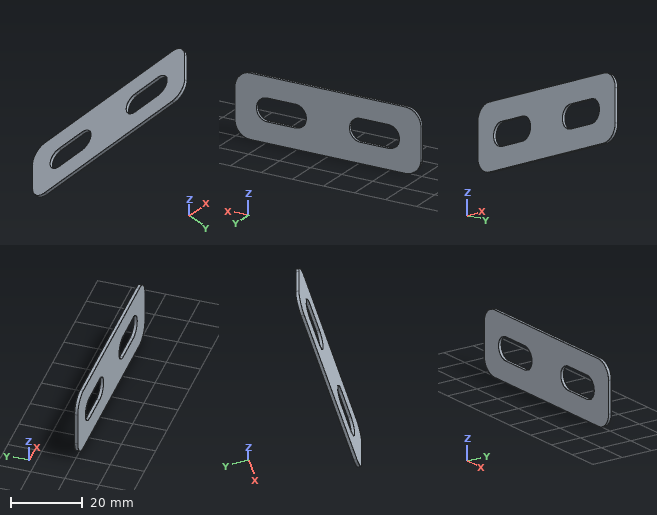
import cadquery as cq

length = 60.0
height = length / 3
thickness = length / 60
corner_radius = height / 4

slot_length = 16.0
slot_width = 7.1
slot_spacing = length / 2

plate = (
    cq.Workplane("XZ")
    .rect(length, height)
    .extrude(thickness / 2, both=True)
    .edges("|Y")
    .fillet(corner_radius)
)

slots = (
    cq.Workplane("XZ")
    .rarray(slot_spacing, 0.6, 2, 1)
    .slot2D(slot_length, slot_width)
    .extrude(thickness, both=True)
)

result = plate.cut(slots)